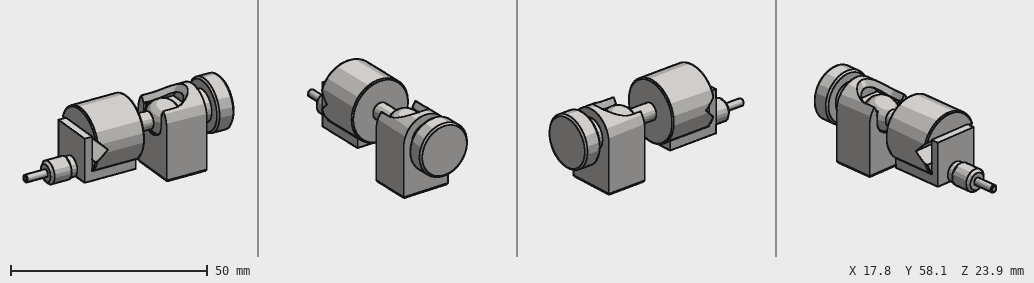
import cadquery as cq
import math


knob_diameter = 15.0
knob_length = 5.05
knob_chamfer = 0.5
neck_diameter = 9.0

block_start_y = 8.0
block_end_y = 20.0
block_width = 13.95
block_bottom_z = -15.0
foot_chamfer_height = 0.5
foot_chamfer_inset = 0.35

bore_diameter = 10.15
bore_start_y = 11.0
lip_thickness = 0.65
slot_width = 8.6
seat_top_z = 2.45
ball_y = 17.0
ball_diameter = 9.4
flare_top_radius = 6.85
flare_angle = 32.0
stem_diameter = 4.75

drum_diameter = 17.8
drum_start_y = 27.7
drum_end_y = 41.9
drum_chamfer = 0.35
notch_depth = 3.15

bracket_start_y = 28.9
bracket_end_y = 44.15
bracket_width = 12.8
bracket_bottom_z = -9.1
bracket_top_z = 3.4
base_thickness = 2.75

nozzle_z = -7.05
collar_diameter = 5.7
collar_end_y = 46.0
nozzle_diameter = 6.35
nozzle_end_y = 51.9
nozzle_tip_diameter = 4.75
pin_diameter = 2.1
pin_chamfer = 0.3
overall_length = 58.1


def rod(diameter, start_y, end_y, z=0):
    """Cylinder along the axis direction, running towards -Y."""
    return cq.Workplane("XZ", origin=(0, -start_y, z)).circle(diameter / 2).extrude(end_y - start_y)


def box(width, start_y, end_y, bottom_z, top_z):
    """Box centred on X = 0."""
    size = (width, end_y - start_y, top_z - bottom_z)
    return cq.Workplane("XY", origin=(0, -end_y, bottom_z)).box(*size, centered=(True, False, False))


def make_knob():
    knob = rod(knob_diameter, 0, knob_length).edges().chamfer(knob_chamfer)
    return knob.union(rod(neck_diameter, knob_length, block_start_y))


def make_flare():
    """Tapered opening above the ball, with straight sides running out through the lip."""
    top_z = block_width / 2
    depth = top_z
    bottom_radius = flare_top_radius - depth * math.tan(math.radians(flare_angle))
    cone = cq.Workplane(cq.Solid.makeCone(
        bottom_radius, flare_top_radius, depth, pnt=cq.Vector(0, -ball_y, 0)
    ))
    mouth = (
        cq.Workplane("XZ", origin=(0, -ball_y, 0))
        .polyline([
            (-bottom_radius, 0), (bottom_radius, 0),
            (flare_top_radius, top_z), (-flare_top_radius, top_z),
        ])
        .close()
        .extrude(block_end_y - ball_y)
    )
    return cone.union(mouth)


def make_block():
    lip_y = block_end_y - lip_thickness
    foot = box(block_width, block_start_y, block_end_y, block_bottom_z, 0)
    foot = foot.faces("<Z").edges().chamfer(foot_chamfer_height, foot_chamfer_inset)
    block = foot.union(rod(block_width, block_start_y, block_end_y))
    block = block.cut(rod(bore_diameter, bore_start_y, lip_y))
    slot = rod(slot_width, lip_y, block_end_y).union(
        box(slot_width, lip_y, block_end_y, 0, block_width / 2)
    )
    return block.cut(slot).cut(make_flare())


def make_seat():
    """Flat-topped filling of the bore that holds the ball."""
    lip_y = block_end_y - lip_thickness
    upper_part = box(block_width, bore_start_y, lip_y, seat_top_z, block_width / 2)
    return rod(bore_diameter, bore_start_y, lip_y).cut(upper_part)


def make_ball_stem():
    ball = cq.Workplane("XY", origin=(0, -ball_y, 0)).sphere(ball_diameter / 2)
    return ball.union(rod(stem_diameter, ball_y, drum_start_y))


def make_drum():
    drum = rod(drum_diameter, drum_start_y, drum_end_y).edges().chamfer(drum_chamfer)
    notch = (
        cq.Workplane("YZ")
        .polyline([
            (-drum_end_y + notch_depth, 0), (-drum_end_y, notch_depth), (-drum_end_y, -notch_depth),
        ])
        .close()
        .extrude(drum_diameter, both=True)
    )
    return drum.cut(notch)


def make_bracket():
    base_top_z = bracket_bottom_z + base_thickness
    base = box(bracket_width, bracket_start_y, bracket_end_y, bracket_bottom_z, base_top_z)
    wall = box(bracket_width, drum_end_y, bracket_end_y, bracket_bottom_z, bracket_top_z)
    return base.union(wall)


def make_nozzle():
    collar = rod(collar_diameter, bracket_end_y, collar_end_y, nozzle_z)
    body = rod(nozzle_diameter, collar_end_y, nozzle_end_y, nozzle_z)
    body = body.faces("<Y").chamfer((nozzle_diameter - nozzle_tip_diameter) / 2)
    pin = rod(pin_diameter, nozzle_end_y, overall_length, nozzle_z).faces("<Y").chamfer(pin_chamfer)
    return collar.union(body).union(pin)


result = (
    make_block()
    .union(make_knob())
    .union(make_seat())
    .union(make_ball_stem())
    .union(make_drum())
    .union(make_bracket())
    .union(make_nozzle())
)